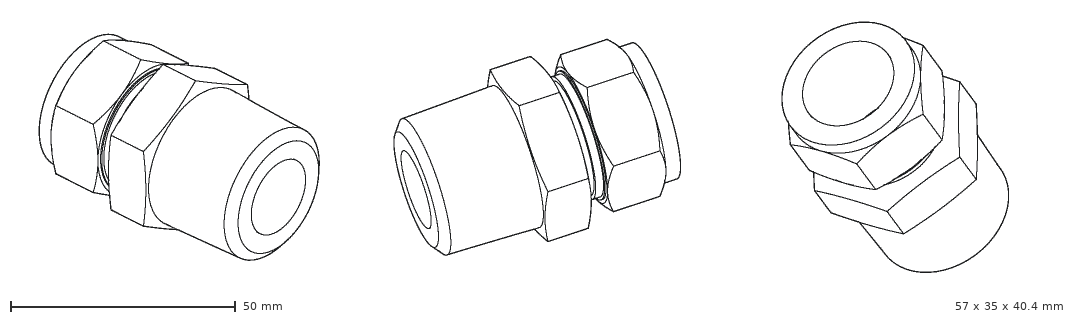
import cadquery as cq
import math

length = 57.0

nut_flats = 32.0
nut_collar_radius = nut_flats / 2
nut_start = 3.55
nut_end = 17.5
nut_chamfer_angle = 30.0
nut_rim_radius = 15.1
nut_rim_end = 17.85

shoulder_radius = 14.4
shoulder_end = 19.7
neck_radius = 13.45

hex_flats = 35.0
hex_start = 21.95
hex_end = 33.1
hex_face_radius = 17.4
hex_chamfer_angle = 15.0

thread_radius = 16.65
taper_start = 34.35
taper_end = 55.0
taper_per_length = 1 / 32
tip_chamfer_drop = 2.45

tube_bore_radius = 11.0
tube_bore_depth = 26.0
through_bore_radius = 9.1


def cylinder(start, end, radius):
    """Cylinder on the X axis between two stations."""
    return cq.Workplane("YZ").workplane(offset=start).circle(radius).extrude(end - start)


def revolve_about_x(points):
    """Solid of revolution from (x, radius) points closed along the X axis."""
    return cq.Workplane("XY").polyline(points).close().revolve(360, (0, 0, 0), (1, 0, 0))


def chamfered_hexagon(start, end, flats, face_radius, angle):
    """Hexagon with corners up and down, both ends turned to a cone."""
    corner_diameter = flats / math.cos(math.radians(30))
    corner_radius = corner_diameter / 2
    run = (corner_radius - face_radius) * math.tan(math.radians(angle))
    prism = (
        cq.Workplane("YZ")
        .workplane(offset=start)
        .transformed(rotate=(0, 0, 90))
        .polygon(6, corner_diameter)
        .extrude(end - start)
    )
    envelope = revolve_about_x([
        (start, 0),
        (start, face_radius),
        (start + run, corner_radius),
        (end - run, corner_radius),
        (end, face_radius),
        (end, 0),
    ])
    return prism.intersect(envelope)


def nut():
    collar = cylinder(0, nut_start, nut_collar_radius)
    hexagon = chamfered_hexagon(nut_start, nut_end, nut_flats, nut_collar_radius, nut_chamfer_angle)
    rim = cylinder(nut_end, nut_rim_end, nut_rim_radius)
    return collar.union(hexagon).union(rim)


def thread_end():
    taper_end_radius = thread_radius - (taper_end - taper_start) * taper_per_length
    return revolve_about_x([
        (hex_end, 0),
        (hex_end, thread_radius),
        (taper_start, thread_radius),
        (taper_end, taper_end_radius),
        (length, taper_end_radius - tip_chamfer_drop),
        (length, 0),
    ])


def body():
    shoulder = cylinder(nut_rim_end, shoulder_end, shoulder_radius)
    neck = cylinder(shoulder_end, hex_start, neck_radius)
    hexagon = chamfered_hexagon(hex_start, hex_end, hex_flats, hex_face_radius, hex_chamfer_angle)
    return shoulder.union(neck).union(hexagon).union(thread_end())


tube_bore = cylinder(0, tube_bore_depth, tube_bore_radius)
through_bore = cylinder(0, length, through_bore_radius)

result = nut().union(body()).cut(tube_bore).cut(through_bore)